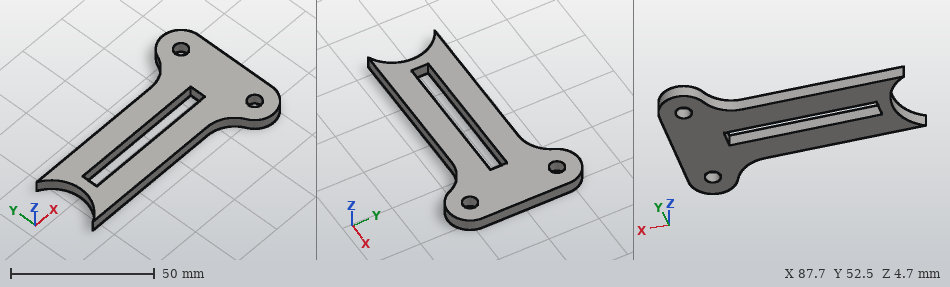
import cadquery as cq
import math

length = 87.65
width = 52.5
thickness = 4.7

arm_half_width = 13.3
end_arc_depth = 8.2
slot_start = 13.0
slot_end = 68.45
slot_width = 6.7

lobe_radius = 8.85
blend_radius = 13.0
hole_diameter = 5.6

lobe_x = length - lobe_radius
lobe_y = width / 2 - lobe_radius

blend_y = arm_half_width + blend_radius
center_distance = blend_radius + lobe_radius
blend_x = lobe_x - math.sqrt(center_distance**2 - (blend_y - lobe_y) ** 2)
blend_angle = math.atan2(lobe_y - blend_y, lobe_x - blend_x)
lobe_angle = blend_angle + math.pi


def point_on_circle(center_x, center_y, radius, angle):
    return (center_x + radius * math.cos(angle), center_y + radius * math.sin(angle))


def mirrored(point):
    return (point[0], -point[1])


arm_corner = (0, arm_half_width)
blend_start = (blend_x, arm_half_width)
blend_middle = point_on_circle(blend_x, blend_y, blend_radius, (blend_angle - math.pi / 2) / 2)
blend_end = point_on_circle(blend_x, blend_y, blend_radius, blend_angle)
lobe_middle = point_on_circle(lobe_x, lobe_y, lobe_radius, lobe_angle / 2)
lobe_end = (length, lobe_y)


def make_plate():
    return (
        cq.Workplane("XY")
        .moveTo(*arm_corner)
        .lineTo(*blend_start)
        .threePointArc(blend_middle, blend_end)
        .threePointArc(lobe_middle, lobe_end)
        .lineTo(*mirrored(lobe_end))
        .threePointArc(mirrored(lobe_middle), mirrored(blend_end))
        .threePointArc(mirrored(blend_middle), mirrored(blend_start))
        .lineTo(*mirrored(arm_corner))
        .threePointArc((end_arc_depth, 0), arm_corner)
        .close()
        .extrude(thickness)
    )


def make_slot():
    slot_center = (slot_start + slot_end) / 2
    slot_length = slot_end - slot_start
    return cq.Workplane("XY").center(slot_center, 0).rect(slot_length, slot_width).extrude(thickness)


def make_holes():
    centers = [(lobe_x, lobe_y), (lobe_x, -lobe_y)]
    return cq.Workplane("XY").pushPoints(centers).circle(hole_diameter / 2).extrude(thickness)


result = make_plate().cut(make_slot()).cut(make_holes())